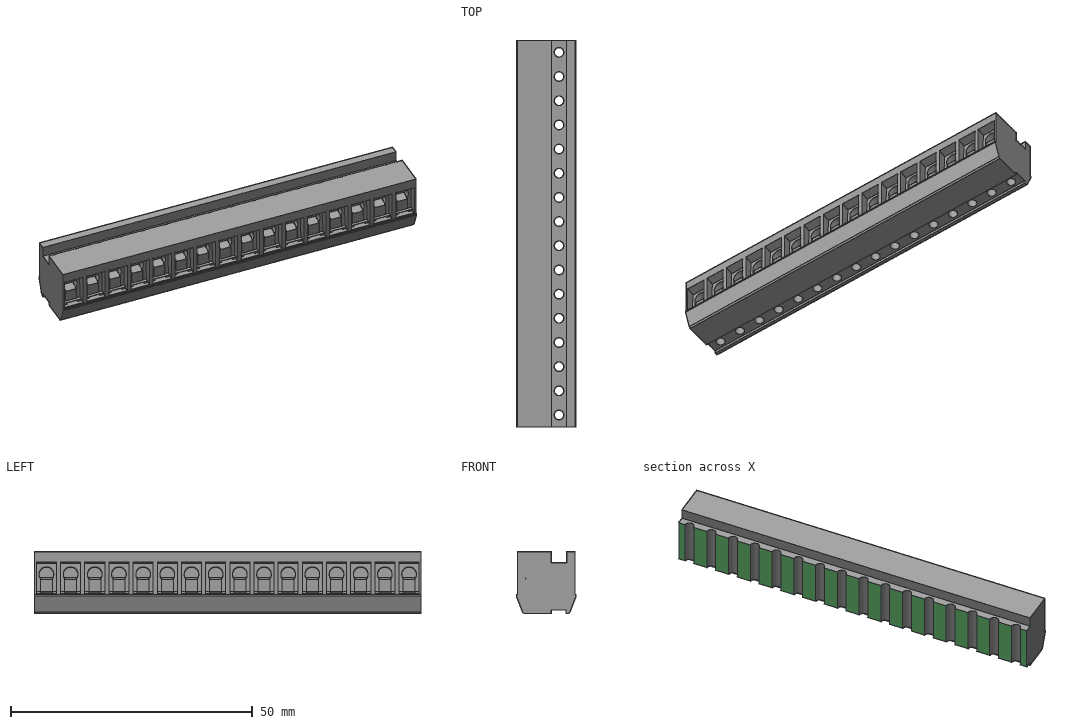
import cadquery as cq


WIDTH = 12.4
LENGTH = 80.0
HEIGHT = 12.8

LIP = 0.2
LIP_TOP = 3.9
LIP_BOTTOM = 3.6
TAPER_INSET = 1.3
BOTTOM_CHAMFER = 0.3
CHANNEL_LEFT = 7.3
CHANNEL_WIDTH = 3.1
CHANNEL_DEPTH = 2.2
NOTCH_WIDTH = 3.0
NOTCH_DEPTH = 0.7

POLES = 16
PITCH = LENGTH / POLES
SCREW_HOLE_DIAMETER = 1.9
SCREW_X = CHANNEL_LEFT + CHANNEL_WIDTH / 2

WINDOW_WIDTH = 4.2
WINDOW_BOTTOM = 4.2
WINDOW_TOP = 10.6
CEILING_DROP = 0.2
STEP_TOP = 4.6
STEP_X = LIP + 0.8
BACK_BOTTOM_X = LIP + 1.5
BACK_TOP_X = LIP + 1.8

WIRE_HOLE_RADIUS = 1.5
WIRE_HOLE_Z = 8.2
WIRE_HOLE_DEPTH = 1.6
CLAMP_WIDTH = 2.5
CLAMP_X = LIP + 1.4
CLAMP_TOP = 7.0
RAMP_RISE = 0.5
SILL_UNDERCUT = 0.4

BACK_TOP = WINDOW_TOP - CEILING_DROP
BACK_LEAN = (BACK_TOP_X - BACK_BOTTOM_X) / (BACK_TOP - STEP_TOP)


def back_wall_x(z):
    return BACK_BOTTOM_X + BACK_LEAN * (z - STEP_TOP)


def bar(points, width, y_center):
    """Prism with an XZ outline, centred on y_center."""
    return (
        cq.Workplane("XZ", origin=(0, y_center, 0))
        .polyline(points)
        .close()
        .extrude(width / 2, both=True)
    )


def housing():
    channel_right = CHANNEL_LEFT + CHANNEL_WIDTH
    channel_floor = HEIGHT - CHANNEL_DEPTH
    notch_right = CHANNEL_LEFT + NOTCH_WIDTH
    foot_inset = TAPER_INSET + BOTTOM_CHAMFER
    outline = [
        (LIP, HEIGHT),
        (CHANNEL_LEFT, HEIGHT),
        (CHANNEL_LEFT, channel_floor),
        (channel_right, channel_floor),
        (channel_right, HEIGHT),
        (WIDTH - LIP, HEIGHT),
        (WIDTH - LIP, LIP_TOP),
        (WIDTH, LIP_TOP),
        (WIDTH, LIP_BOTTOM),
        (WIDTH - TAPER_INSET, BOTTOM_CHAMFER),
        (WIDTH - foot_inset, 0),
        (notch_right, 0),
        (notch_right, NOTCH_DEPTH),
        (CHANNEL_LEFT, NOTCH_DEPTH),
        (CHANNEL_LEFT, 0),
        (foot_inset, 0),
        (TAPER_INSET, BOTTOM_CHAMFER),
        (0, LIP_BOTTOM),
        (0, LIP_TOP),
        (LIP, LIP_TOP),
    ]
    return bar(outline, LENGTH, 0)


def wire_entry(y):
    """Cavity of one pole: window, wire hole and undercut, less the clamp block."""
    window = bar(
        [
            (0, WINDOW_BOTTOM),
            (STEP_X, WINDOW_BOTTOM),
            (STEP_X, STEP_TOP),
            (BACK_BOTTOM_X, STEP_TOP),
            (BACK_TOP_X, BACK_TOP),
            (LIP, WINDOW_TOP),
            (0, WINDOW_TOP),
        ],
        WINDOW_WIDTH,
        y,
    )
    inward = cq.Vector(1, 0, -BACK_LEAN).normalized()
    mouth = cq.Vector(back_wall_x(WIRE_HOLE_Z), y, WIRE_HOLE_Z)
    start_gap = 0.4
    hole = cq.Solid.makeCylinder(
        WIRE_HOLE_RADIUS, WIRE_HOLE_DEPTH + start_gap, mouth - inward * start_gap, inward
    )
    ramp_end_x = BACK_TOP_X + WIRE_HOLE_DEPTH
    clamp = bar(
        [
            (CLAMP_X, STEP_TOP),
            (ramp_end_x, STEP_TOP),
            (ramp_end_x, CLAMP_TOP + RAMP_RISE),
            (CLAMP_X, CLAMP_TOP),
        ],
        CLAMP_WIDTH,
        y,
    )
    undercut = bar(
        [
            (STEP_X, STEP_TOP),
            (STEP_X, WINDOW_BOTTOM),
            (STEP_X + SILL_UNDERCUT, WINDOW_BOTTOM),
        ],
        CLAMP_WIDTH,
        y,
    )
    return window.union(cq.Workplane(hole)).cut(clamp).union(undercut)


def screw_hole(y):
    return (
        cq.Workplane("XY", origin=(SCREW_X, y, 0))
        .circle(SCREW_HOLE_DIAMETER / 2)
        .extrude(HEIGHT)
    )


body = housing()
for pole in range(POLES):
    pole_y = (pole - (POLES - 1) / 2) * PITCH
    body = body.cut(wire_entry(pole_y)).cut(screw_hole(pole_y))

result = body